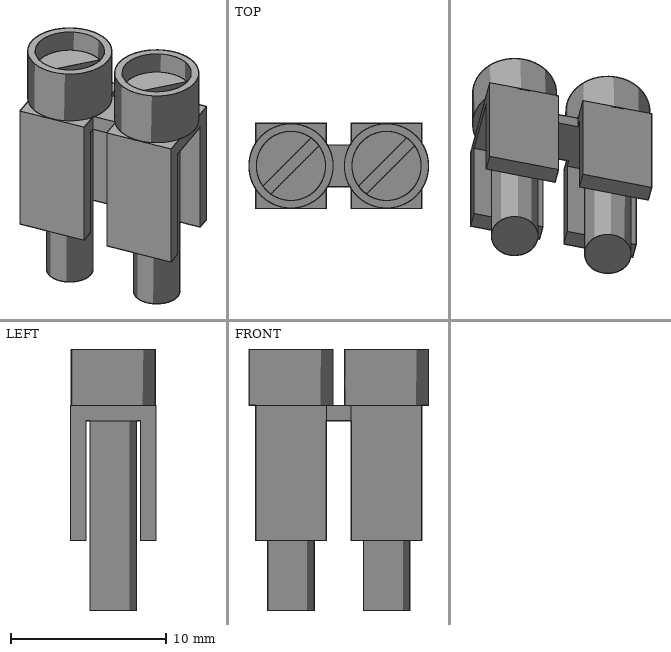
import cadquery as cq

pitch = 6.15
head_diameter = 5.42
head_height = 3.6
recess_diameter = 4.45
recess_depth = 1.4
slot_width = 0.72
slot_depth = 1.0
slot_angle = 45
pin_diameter = 3.0
clamp_width = 4.55
clamp_depth = 5.5
clamp_height = 8.7
wall = 1.0
bridge_depth = 2.7
pin_projection = 4.5

clamp_top = pin_projection + clamp_height
plate_bottom = clamp_top - wall
head_top = clamp_top + head_height
recess_floor = head_top - recess_depth


def box_between(width, depth, bottom, top):
    """Box centred on the Z axis, spanning the given heights."""
    return cq.Workplane("XY").workplane(offset=bottom).rect(width, depth).extrude(top - bottom)


def cylinder_between(diameter, bottom, top):
    """Cylinder on the Z axis, spanning the given heights."""
    return cq.Workplane("XY").workplane(offset=bottom).circle(diameter / 2).extrude(top - bottom)


def make_clamp():
    """Inverted U with its two legs facing -Y and +Y."""
    block = box_between(clamp_width, clamp_depth, pin_projection, clamp_top)
    gap = box_between(clamp_width, clamp_depth - 2 * wall, pin_projection, plate_bottom)
    return block.cut(gap)


def make_head():
    """Round screw head with a recess and a diagonal driver slot in the recess floor."""
    head = cylinder_between(head_diameter, clamp_top, head_top)
    recess = cylinder_between(recess_diameter, recess_floor, head_top)
    slot_bar = box_between(recess_diameter, slot_width, recess_floor - slot_depth, recess_floor)
    slot_bar = slot_bar.rotate((0, 0, 0), (0, 0, 1), slot_angle)
    slot = slot_bar.intersect(cylinder_between(recess_diameter, recess_floor - slot_depth, recess_floor))
    return head.cut(recess).cut(slot)


def make_terminal():
    """One clamp with its screw head and pin."""
    pin = cylinder_between(pin_diameter, 0, clamp_top)
    return make_clamp().union(pin).union(make_head())


result = box_between(pitch, bridge_depth, plate_bottom, clamp_top)
for side in (-1, 1):
    result = result.union(make_terminal().translate((side * pitch / 2, 0, 0)))